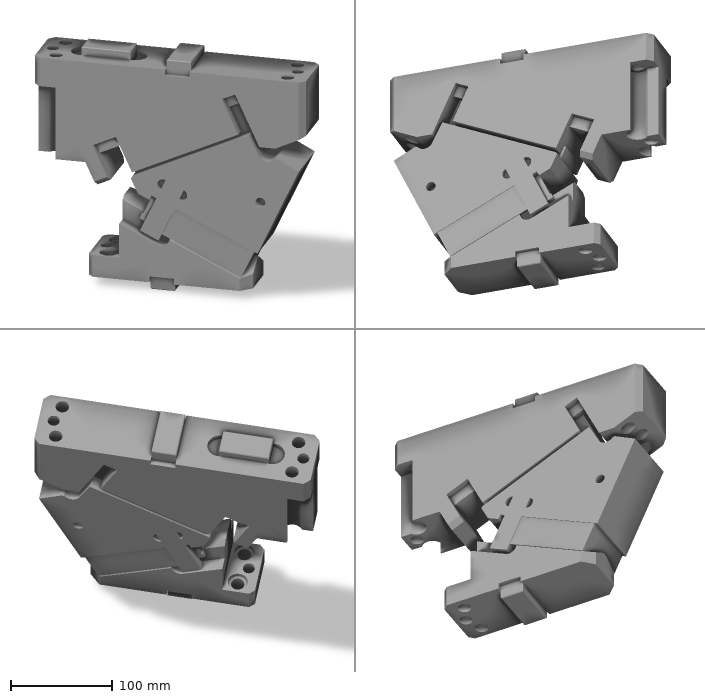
import cadquery as cq
import math

LENGTH = 277.0
WIDTH = 60.0
HALF_WIDTH = WIDTH / 2
HEIGHT = 243.0
KEY_PROUD = 9.0
BOTTOM_Z = KEY_PROUD
TOP_Z = HEIGHT - KEY_PROUD
TILT = math.radians(25)
COS_TILT = math.cos(TILT)
SIN_TILT = math.sin(TILT)

KEY_WIDTH = 25.0
KEY_LENGTH = 50.0
KEY_SINK = 6.0
KEY_CHAMFER = 0.8
CROSS_KEY_X = 147.0
LONG_KEY_X = 69.2
LONG_SLOT_LENGTH = 77.3
BASE_KEY_X = 131.0

SCREW_DIAMETER = 13.3
SCREW_Y = 18.0
DOWEL_DIAMETER = 12.0
DOWEL_RELIEF_DIAMETER = 13.3
DOWEL_SEAT_DEPTH = 4.0

HOLDER_CHAMFER = 6.0
FLANGE_BOTTOM_Z = 128.8
RELIEF_TOP_Z = 204.1
RELIEF_X = 22.7
RELIEF_RADIUS = 10.8
WEB_HALF_WIDTH = 11.5
LEFT_SCREW_X = 20.0
LEFT_DOWEL_X = 12.0
RIGHT_SCREW_X = 256.8
RIGHT_DOWEL_X = 262.0
RIGHT_FLAT_Z = 162.3
RIGHT_FLAT_END_X = 247.0
RIGHT_CORNER_Z = 176.5
HOLDER_GAP = 4.2
HOOK_LEFT = -38.5
HOOK_RIGHT = -23.8
HOOK_END = 3.3
HOOK_CHAMFER = 5.0
LEFT_SLOT_END = 2.2
RIGHT_SLOT_START = 122.0
RIGHT_SLOT_END = 136.8
SIDE_SLOT_TOP = 43.5
CORE_SLOT_TOP = 32.0
CORE_HALF_WIDTH = 22.7

SHOULDER_X = 100.5
SHOULDER_Z = 118.0
SHOULDER_LENGTH = 131.9
RAIL_HEIGHT = 13.0
RAIL_HALF_WIDTH = 16.5
HEEL_X = 229.0
HEEL_Z = 49.9
HEEL_HEIGHT = 99.7
STRAP_RIGHT = 93.3
STRAP_LEFT = 114.0
STRAP_BOTTOM = -39.3
SHOE_RIGHT = 4.0
SHOE_LEFT = 119.5
SHOE_BOTTOM = -31.9
SHOE_HALF_WIDTH = 29.5
CHIN_BOTTOM = -5.3
NUB_LEFT = 120.8
NUB_BOTTOM = -31.3
NUB_TOP = -26.0
POCKET_RADIUS = 5.8
POCKET_ABOVE = 16.0
POCKET_DEPTH = 5.5
DRILL_RADIUS = 5.0
DRILL_DEPTH = 11.0
DRILL_X = 232.0
DRILL_Z = 104.2
DRILL_POINT_DEPTH = DRILL_RADIUS / math.tan(math.radians(59))

BASE_LEFT_X = 55.7
BASE_RIGHT_X = 221.5
PAD_TOP_Z = 31.9
WALL_X = 87.5
WALL_TOP_Z = 91.5
BASE_LEFT_CHAMFER = 5.0
BASE_RIGHT_CHAMFER = 10.8
ROOF_TOP = -17.2
ROOF_HALF_FLAT = 2.8
ROOF_ANGLE = math.radians(30)
RIDGE_HALF_WIDTH = 17.0
STRAP_SLOT_FLOOR = -44.0
STRAP_SLOT_END = 84.0
STRAP_SLOT_RADIUS = 8.0
PAD_SCREW_X = 74.2
PAD_DOWEL_X = 66.5
COUNTERBORE_DIAMETER = 19.7
COUNTERBORE_DEPTH = 4.0

FAR = 415.5


def guide_point(along, above):
    """Point from the left shoulder corner, along the rising guide and square to it."""
    x = SHOULDER_X + along * COS_TILT - above * SIN_TILT
    z = SHOULDER_Z + along * SIN_TILT + above * COS_TILT
    return x, z


def ramp_point(along, above):
    """Point from the slider heel, up along the ramp to the left and square to it."""
    x = HEEL_X - along * COS_TILT + above * SIN_TILT
    z = HEEL_Z + along * SIN_TILT + above * COS_TILT
    return x, z


def plate(points, half_width):
    """Polygon in X and Z, extruded evenly to both sides of the middle plane."""
    return cq.Workplane("XZ").polyline(points).close().extrude(half_width, both=True)


def side_plates(points, inner, outer):
    """The same polygon on both sides, between two distances from the middle plane."""
    return plate(points, outer).cut(plate(points, inner))


def band(frame, left, right, low, high):
    """Corners of a rectangle laid out in one of the tilted frames."""
    return [frame(left, low), frame(right, low), frame(right, high), frame(left, high)]


def box(x_range, y_range, z_range):
    size = [high - low for low, high in (x_range, y_range, z_range)]
    corner = (x_range[0], y_range[0], z_range[0])
    return cq.Workplane("XY").box(*size, centered=False).translate(corner)


def vertical_holes(centers, diameter, bottom_z, depth):
    plane = cq.Workplane("XY").workplane(offset=bottom_z)
    return plane.pushPoints(centers).circle(diameter / 2).extrude(depth)


def dowel_holes(centers, bottom_z, top_z):
    seat_z = top_z - DOWEL_SEAT_DEPTH
    seats = vertical_holes(centers, DOWEL_DIAMETER, seat_z, DOWEL_SEAT_DEPTH)
    return seats.union(vertical_holes(centers, DOWEL_RELIEF_DIAMETER, bottom_z, seat_z - bottom_z))


def screw_centers(x):
    return [(x, -SCREW_Y), (x, SCREW_Y)]


def key(x, size_x, size_y, bottom_z, chamfered_face):
    block = cq.Workplane("XY").box(size_x, size_y, KEY_SINK + KEY_PROUD, centered=(True, True, False))
    return block.faces(chamfered_face).chamfer(KEY_CHAMFER).translate((x, 0, bottom_z))


def key_slot(x, bottom_z):
    half = KEY_WIDTH / 2
    return box((x - half, x + half), (-HALF_WIDTH, HALF_WIDTH), (bottom_z, bottom_z + KEY_SINK))


def holder_outline():
    hook_left_top = guide_point(HOOK_LEFT, 0)
    hook_left_x = hook_left_top[0] - (FLANGE_BOTTOM_Z - hook_left_top[1]) * math.tan(TILT)
    slot_right = guide_point(RIGHT_SLOT_END, 0)
    slot_right_x = slot_right[0] - (RIGHT_FLAT_Z - slot_right[1]) * math.tan(TILT)
    return [
        (0, TOP_Z),
        (0, FLANGE_BOTTOM_Z),
        (hook_left_x, FLANGE_BOTTOM_Z),
        guide_point(HOOK_LEFT, HOOK_END),
        guide_point(HOOK_RIGHT, HOOK_END),
        guide_point(HOOK_RIGHT, CORE_SLOT_TOP),
        guide_point(LEFT_SLOT_END, CORE_SLOT_TOP),
        guide_point(LEFT_SLOT_END, HOLDER_GAP),
        guide_point(SHOULDER_LENGTH, HOLDER_GAP),
        guide_point(SHOULDER_LENGTH, CORE_SLOT_TOP),
        guide_point(RIGHT_SLOT_END, CORE_SLOT_TOP),
        (slot_right_x, RIGHT_FLAT_Z),
        (RIGHT_FLAT_END_X, RIGHT_FLAT_Z),
        (LENGTH, RIGHT_CORNER_Z),
        (LENGTH, TOP_Z),
    ]


def make_holder():
    body = plate(holder_outline(), HALF_WIDTH)
    corners = box((0, LENGTH), (-HALF_WIDTH, HALF_WIDTH), (0, TOP_Z)).edges("|Z").chamfer(HOLDER_CHAMFER)
    body = body.intersect(corners)

    hook_end = cq.Plane(
        origin=(*guide_point(0, HOOK_END)[:1], 0, guide_point(0, HOOK_END)[1]),
        xDir=(0, 1, 0),
        normal=(COS_TILT, 0, SIN_TILT),
    )
    for side in (-1, 1):
        bevel = (
            cq.Workplane(hook_end)
            .workplane(offset=HOOK_LEFT)
            .polyline([
                (side * (HALF_WIDTH - HOOK_CHAMFER), 0),
                (side * HALF_WIDTH, 0),
                (side * HALF_WIDTH, HOOK_CHAMFER),
            ])
            .close()
            .extrude(HOOK_RIGHT - HOOK_LEFT)
        )
        body = body.cut(bevel)

    left_slot = band(guide_point, HOOK_RIGHT, LEFT_SLOT_END, HOLDER_GAP, SIDE_SLOT_TOP)
    right_slot = band(guide_point, RIGHT_SLOT_START, RIGHT_SLOT_END, 0, SIDE_SLOT_TOP)
    for slot in (left_slot, right_slot):
        body = body.cut(side_plates(slot, CORE_HALF_WIDTH, HALF_WIDTH))
    lip_sides = band(guide_point, RIGHT_SLOT_START, RIGHT_SLOT_END, 0, CORE_SLOT_TOP)
    body = body.cut(side_plates(lip_sides, RAIL_HALF_WIDTH, CORE_HALF_WIDTH))
    groove = band(guide_point, LEFT_SLOT_END, SHOULDER_LENGTH, 0, RAIL_HEIGHT)
    body = body.cut(plate(groove, RAIL_HALF_WIDTH))

    relief_height = RELIEF_TOP_Z - FLANGE_BOTTOM_Z
    for low_y, high_y in ((-HALF_WIDTH, -WEB_HALF_WIDTH), (WEB_HALF_WIDTH, HALF_WIDTH)):
        body = body.cut(box((0, RELIEF_X), (low_y, high_y), (FLANGE_BOTTOM_Z, RELIEF_TOP_Z)))
    screws = screw_centers(LEFT_SCREW_X)
    body = body.cut(vertical_holes(screws, 2 * RELIEF_RADIUS, FLANGE_BOTTOM_Z, relief_height))

    screws += screw_centers(RIGHT_SCREW_X)
    dowels = [(LEFT_DOWEL_X, 0), (RIGHT_DOWEL_X, 0)]
    body = body.cut(vertical_holes(screws, SCREW_DIAMETER, FLANGE_BOTTOM_Z, HEIGHT))
    body = body.cut(dowel_holes(dowels, FLANGE_BOTTOM_Z, TOP_Z))

    slot_bottom_z = TOP_Z - KEY_SINK
    long_slot = (
        cq.Workplane("XY")
        .workplane(offset=slot_bottom_z)
        .center(LONG_KEY_X, 0)
        .slot2D(LONG_SLOT_LENGTH, KEY_WIDTH)
        .extrude(KEY_SINK)
    )
    body = body.cut(long_slot).cut(key_slot(CROSS_KEY_X, slot_bottom_z))
    body = body.union(key(LONG_KEY_X, KEY_LENGTH, KEY_WIDTH, slot_bottom_z, ">Z"))
    return body.union(key(CROSS_KEY_X, KEY_WIDTH, KEY_LENGTH, slot_bottom_z, ">Z"))


def make_roof():
    """Everything below the sloping roof planes of the base."""
    plane = cq.Plane(origin=(HEEL_X, 0, HEEL_Z), xDir=(0, 1, 0), normal=(COS_TILT, 0, -SIN_TILT))
    eave = ROOF_TOP - (FAR - ROOF_HALF_FLAT) * math.tan(ROOF_ANGLE)
    outline = [
        (-ROOF_HALF_FLAT, ROOF_TOP),
        (ROOF_HALF_FLAT, ROOF_TOP),
        (FAR, eave),
        (-FAR, eave),
    ]
    return cq.Workplane(plane).polyline(outline).close().extrude(FAR, both=True)


def make_slider(roof):
    profile = cq.Workplane("XZ").polyline([
        (231.0, 152.0),
        guide_point(SHOULDER_LENGTH, 0),
        guide_point(0, 0),
        (99.7, 115.8),
        ramp_point(132.5, CHIN_BOTTOM),
        ramp_point(SHOE_LEFT, CHIN_BOTTOM),
        ramp_point(SHOE_LEFT, 0),
        ramp_point(0, 0),
        ramp_point(0, HEEL_HEIGHT),
        (248.7, 151.5),
        (246.3, 151.2),
    ])
    body = profile.threePointArc((238.5, 147.6), (231.0, 152.0)).close().extrude(HALF_WIDTH, both=True)

    rail = plate(band(guide_point, 0, SHOULDER_LENGTH, 0, RAIL_HEIGHT), RAIL_HALF_WIDTH)
    body = body.union(rail)

    body = body.union(plate(band(ramp_point, SHOE_RIGHT, STRAP_RIGHT, SHOE_BOTTOM, 0), SHOE_HALF_WIDTH))
    body = body.union(plate(band(ramp_point, STRAP_RIGHT, SHOE_LEFT, SHOE_BOTTOM, 0), CORE_HALF_WIDTH))
    body = body.cut(roof)

    strap = band(ramp_point, STRAP_RIGHT, STRAP_LEFT, STRAP_BOTTOM, 0)
    body = body.union(side_plates(strap, CORE_HALF_WIDTH, HALF_WIDTH))
    nub = band(ramp_point, STRAP_RIGHT, NUB_LEFT, NUB_BOTTOM, NUB_TOP)
    body = body.union(side_plates(nub, RIDGE_HALF_WIDTH, CORE_HALF_WIDTH))

    strap_line = plate(band(ramp_point, STRAP_RIGHT, STRAP_LEFT, 0, HEEL_HEIGHT), HALF_WIDTH)
    for side in (-1, 1):
        face = cq.Workplane("XZ", origin=(0, side * HALF_WIDTH, 0))
        centers = [ramp_point(STRAP_LEFT, POCKET_ABOVE), ramp_point(STRAP_RIGHT, POCKET_ABOVE)]
        pockets = face.pushPoints(centers).circle(POCKET_RADIUS).extrude(side * POCKET_DEPTH)
        body = body.cut(pockets.cut(strap_line))
        drill = cq.Solid.revolve(
            cq.Wire.makePolygon(
                [
                    cq.Vector(0, 0, 0),
                    cq.Vector(DRILL_RADIUS, 0, 0),
                    cq.Vector(DRILL_RADIUS, DRILL_DEPTH, 0),
                    cq.Vector(0, DRILL_DEPTH + DRILL_POINT_DEPTH, 0),
                ],
                close=True,
            ),
            [],
            360,
            cq.Vector(0, 0, 0),
            cq.Vector(0, 1, 0),
        )
        turn = 0 if side < 0 else 180
        drill = drill.rotate(cq.Vector(0, 0, 0), cq.Vector(0, 0, 1), turn)
        body = body.cut(cq.Workplane(drill.translate(cq.Vector(DRILL_X, side * HALF_WIDTH, DRILL_Z))))
    return body


def make_base(roof):
    body = plate(
        [
            (BASE_LEFT_X, BOTTOM_Z),
            (BASE_RIGHT_X, BOTTOM_Z),
            (BASE_RIGHT_X, WALL_TOP_Z),
            (WALL_X, WALL_TOP_Z),
            (WALL_X, PAD_TOP_Z),
            (BASE_LEFT_X, PAD_TOP_Z),
        ],
        HALF_WIDTH,
    )
    plan = [
        (BASE_LEFT_X, HALF_WIDTH - BASE_LEFT_CHAMFER),
        (BASE_LEFT_X + BASE_LEFT_CHAMFER, HALF_WIDTH),
        (BASE_RIGHT_X - BASE_RIGHT_CHAMFER, HALF_WIDTH),
        (BASE_RIGHT_X, HALF_WIDTH - BASE_RIGHT_CHAMFER),
    ]
    plan += [(x, -y) for x, y in reversed(plan)]
    body = body.intersect(cq.Workplane("XY").polyline(plan).close().extrude(HEIGHT))
    body = body.intersect(roof)

    slot = plate(band(ramp_point, STRAP_SLOT_END, FAR, STRAP_SLOT_FLOOR, 0), HALF_WIDTH)
    slot = slot.edges("|Y").edges("<Z").fillet(STRAP_SLOT_RADIUS)
    ridge = box((0, LENGTH), (-RIDGE_HALF_WIDTH, RIDGE_HALF_WIDTH), (0, HEIGHT))
    body = body.cut(slot.cut(ridge))

    screws = screw_centers(PAD_SCREW_X)
    body = body.cut(vertical_holes(screws, SCREW_DIAMETER, BOTTOM_Z, PAD_TOP_Z))
    counterbore_z = PAD_TOP_Z - COUNTERBORE_DEPTH
    body = body.cut(vertical_holes(screws, COUNTERBORE_DIAMETER, counterbore_z, COUNTERBORE_DEPTH))
    body = body.cut(dowel_holes([(PAD_DOWEL_X, 0)], BOTTOM_Z, PAD_TOP_Z))

    body = body.cut(key_slot(BASE_KEY_X, BOTTOM_Z))
    return body.union(key(BASE_KEY_X, KEY_WIDTH, KEY_LENGTH, 0, "<Z"))


roof = make_roof()
holder = make_holder()
slider = make_slider(roof)
base = make_base(roof)
result = cq.Compound.makeCompound([*holder.vals(), *slider.vals(), *base.vals()])